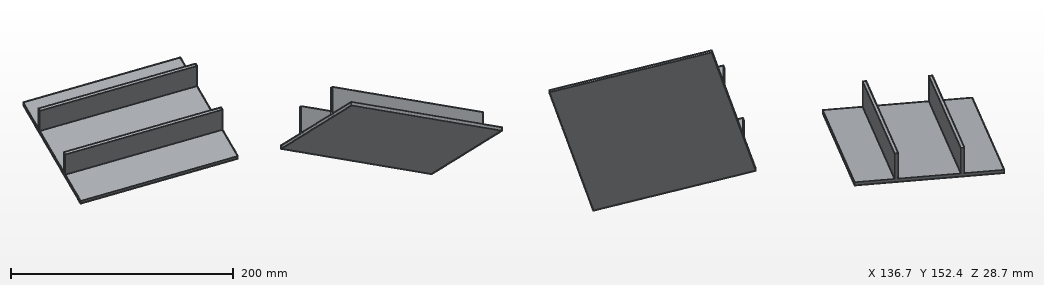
import cadquery as cq

length = 152.4
width = 136.7
height = 28.7
thickness = 3.4
rib_gap = 57.2

rib_spacing = rib_gap + thickness

base = cq.Workplane("XY").box(width, length, thickness, centered=(True, True, False))

ribs = (
    cq.Workplane("XY")
    .rarray(rib_spacing, 1.5, 2, 1)
    .rect(thickness, length)
    .extrude(height)
)

result = base.union(ribs)